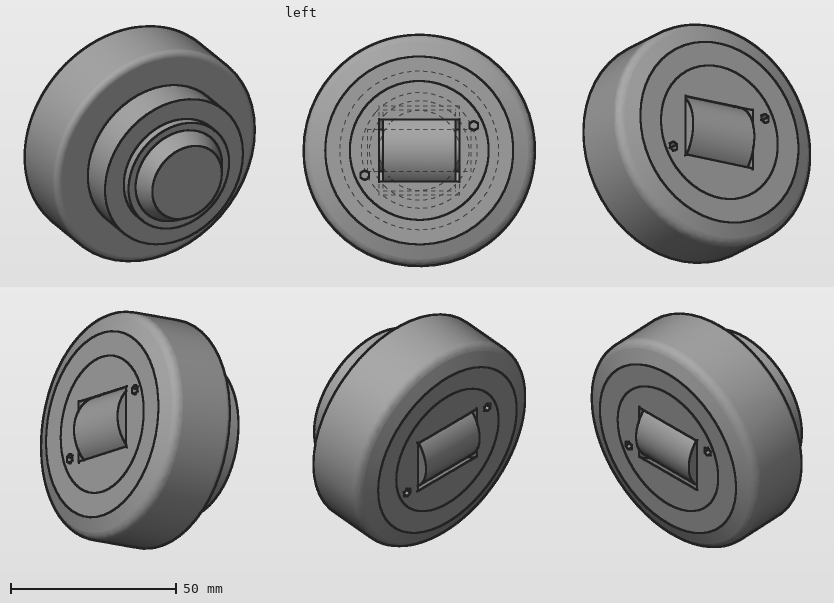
import cadquery as cq
import math


wheel_radius = 35.05
wheel_width = 23.05
bore_radius = 21.0
front_face_radius = 28.45
front_bevel_angle = 20.0
front_round = 3.0
rear_round = 1.95

collar_radius = 24.05
collar_end = 33.6
shoulder_radius = 17.5
shoulder_end = 36.5
taper_base_radius = 15.1
taper_tip_radius = 12.1
hub_end = 41.6

roller_radius = 12.3
roller_length = 22.0
roller_protrusion = 2.45
roller_axis_x = roller_radius - roller_protrusion
pin_radius = 6.3
pin_socket_depth = 3.5

pocket_length = 24.25
mouth_height = 18.65
pocket_radius = math.hypot(roller_axis_x, mouth_height / 2)
pin_length = pocket_length + 2 * pin_socket_depth

hex_socket_corner_diameter = 2.95
hex_socket_depth = 5.6
hex_socket_y = 16.5
hex_socket_z = 7.5


def cylinder_along_y(radius, length):
    """Cylinder on the roller axis, centred on the wheel axis."""
    return (
        cq.Workplane("XZ", origin=(roller_axis_x, length / 2, 0))
        .circle(radius)
        .extrude(length)
    )


def make_wheel():
    bevel_depth = (wheel_radius - front_face_radius) * math.tan(math.radians(front_bevel_angle))
    ring = (
        cq.Workplane("XY")
        .polyline([
            (0, bore_radius),
            (0, front_face_radius),
            (bevel_depth, wheel_radius),
            (wheel_width, wheel_radius),
            (wheel_width, bore_radius),
        ])
        .close()
        .revolve(360, (0, 0, 0), (1, 0, 0))
    )
    largest_circle = cq.selectors.RadiusNthSelector(-1)
    ring = ring.faces(">X").edges(largest_circle).fillet(rear_round)
    bevel_rim = cq.selectors.BoxSelector(
        (0, -wheel_radius, -wheel_radius),
        (2 * bevel_depth, wheel_radius, wheel_radius),
    )
    return ring.edges(bevel_rim).edges(largest_circle).fillet(front_round)


def make_hub():
    hub = (
        cq.Workplane("XY")
        .polyline([
            (0, 0),
            (0, bore_radius),
            (wheel_width, bore_radius),
            (wheel_width, collar_radius),
            (collar_end, collar_radius),
            (collar_end, shoulder_radius),
            (shoulder_end, shoulder_radius),
            (shoulder_end, taper_base_radius),
            (hub_end, taper_tip_radius),
            (hub_end, 0),
        ])
        .close()
        .revolve(360, (0, 0, 0), (1, 0, 0))
    )
    corners_up = cq.Plane(origin=(0, 0, 0), xDir=(0, 0, 1), normal=(1, 0, 0))
    hex_sockets = (
        cq.Workplane(corners_up)
        .pushPoints([(hex_socket_z, hex_socket_y), (-hex_socket_z, -hex_socket_y)])
        .polygon(6, hex_socket_corner_diameter)
        .extrude(hex_socket_depth)
    )
    pocket = cylinder_along_y(pocket_radius, pocket_length)
    pin_sockets = cylinder_along_y(pin_radius, pin_length)
    return hub.cut(pocket).cut(pin_sockets).cut(hex_sockets)


def make_pin():
    return cylinder_along_y(pin_radius, pin_length)


def make_roller():
    pin_bore = cylinder_along_y(pin_radius, roller_length)
    return cylinder_along_y(roller_radius, roller_length).cut(pin_bore)


wheel = make_wheel()
hub = make_hub()
pin = make_pin()
roller = make_roller()

result = cq.Compound.makeCompound([wheel.val(), hub.val(), pin.val(), roller.val()])